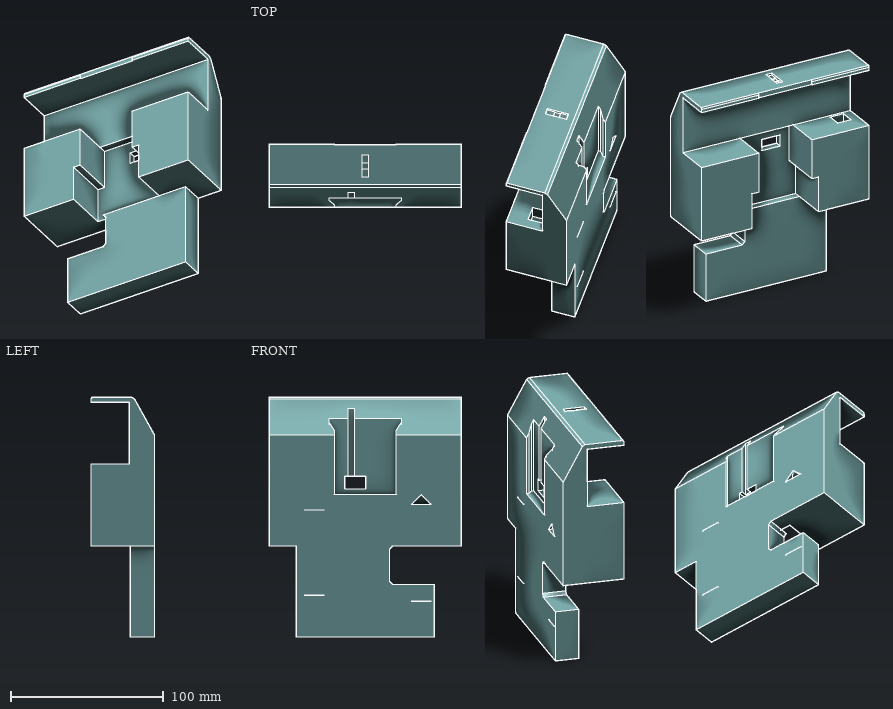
import cadquery as cq

WIDTH = 126.0
DEPTH = 41.64
HEIGHT = 157.25

WALL_THICKNESS = 16.6
PLATE_THICKNESS = 3.5
SLOPE_START_Z = 132.5
RIDGE_Y = 13.7
RIDGE_CHAMFER = 1.3
PLATE_EDGE_INSET = 0.6
PLATE_EDGE_HEIGHT = 1.2

BLOCK_BOTTOM_Z = 59.6
BLOCK_TOP_Z = 113.5
CHANNEL_WIDTH = 40.0
CHANNEL_FRONT_Y = 11.0
CHANNEL_FOOT_WIDTH = 50.0
CHANNEL_FOOT_TOP_Z = 85.0

BLOCK_POCKET_X = 6.2
BLOCK_POCKET_BACK_Y = 28.5
BLOCK_POCKET_SIZE = 10.0
BLOCK_POCKET_DEPTH = 10.0

ARM_THICKNESS = 16.0
ARM_LEFT_X = 17.7
ARM_NECK_X = 79.0
ARM_RIGHT_X = 108.3
HOOK_TOP_Z = 34.6
NOTCH_CHAMFER = 2.0

DOVETAIL_MOUTH_WIDTH = 40.3
DOVETAIL_FLOOR_WIDTH = 47.3
DOVETAIL_LIP = 1.6
DOVETAIL_FLARE_END = 4.5
DOVETAIL_DEPTH = 6.0
DOVETAIL_BOTTOM_Z = 93.3

GROOVE_CENTER_X = 53.9
GROOVE_WIDTH = 4.2
GROOVE_DEPTH = 9.6
WINDOW_LEFT_X = 49.6
WINDOW_WIDTH = 13.7
WINDOW_BOTTOM_Z = 97.2
WINDOW_TOP_Z = 105.3

SLOT_WIDTH = 4.4
SLOT_LENGTH = 14.4
SLOT_CENTER_Y = 27.0
SLOT_STEP_LENGTH = 4.0
SLOT_DEPTH = 1.5
SLOT_STEP_DEPTH = 2.0

MARK_WIDTH = 13.0
MARK_HEIGHT = 6.4
MARK_BASE_Z = 86.9
LEFT_MARK_X = 29.6
RIGHT_MARK_X = 99.7
SCRIBE_HEIGHT = 0.1
SCRIBE_DEPTH = 1.0
SCRIBES = [(LEFT_MARK_X, 83.2), (LEFT_MARK_X, 27.4), (RIGHT_MARK_X, 23.4)]

CENTER_X = WIDTH / 2
CHANNEL_LEFT_X = CENTER_X - CHANNEL_WIDTH / 2
CHANNEL_RIGHT_X = CENTER_X + CHANNEL_WIDTH / 2


def box(x0, x1, y0, y1, z0, z1):
    """Axis-aligned box between two opposite corners."""
    return cq.Workplane("XY").box(x1 - x0, y1 - y0, z1 - z0, centered=False).translate((x0, y0, z0))


def wall_and_plate():
    """Side profile of the wall and plate, with a bevelled ridge and a shallow notch in the back edge."""
    profile = [
        (0, BLOCK_BOTTOM_Z),
        (0, SLOPE_START_Z),
        (RIDGE_Y, HEIGHT),
        (DEPTH - PLATE_EDGE_INSET, HEIGHT),
        (DEPTH, HEIGHT - PLATE_EDGE_HEIGHT),
        (DEPTH, HEIGHT - PLATE_THICKNESS),
        (WALL_THICKNESS, HEIGHT - PLATE_THICKNESS),
        (WALL_THICKNESS, BLOCK_BOTTOM_Z),
    ]
    body = cq.Workplane("YZ").polyline(profile).close().extrude(WIDTH)
    ridge = cq.selectors.NearestToPointSelector((CENTER_X, RIDGE_Y, HEIGHT))
    body = body.edges(ridge).chamfer(RIDGE_CHAMFER)
    edge_notch = box(
        CHANNEL_LEFT_X,
        CHANNEL_RIGHT_X,
        DEPTH - PLATE_EDGE_INSET,
        DEPTH,
        HEIGHT - PLATE_THICKNESS,
        HEIGHT,
    )
    return body.cut(edge_notch)


def block():
    """Full-width block with a blind pocket in its top."""
    body = box(0, WIDTH, 0, DEPTH, BLOCK_BOTTOM_Z, BLOCK_TOP_Z)
    pocket = box(
        BLOCK_POCKET_X,
        BLOCK_POCKET_X + BLOCK_POCKET_SIZE,
        BLOCK_POCKET_BACK_Y - BLOCK_POCKET_SIZE,
        BLOCK_POCKET_BACK_Y,
        BLOCK_TOP_Z - BLOCK_POCKET_DEPTH,
        BLOCK_TOP_Z,
    )
    return body.cut(pocket)


def back_channel():
    """Open channel in the back of the block, wider towards its foot."""
    channel = box(
        CHANNEL_LEFT_X, CHANNEL_RIGHT_X, CHANNEL_FRONT_Y, DEPTH, BLOCK_BOTTOM_Z, BLOCK_TOP_Z
    )
    foot = box(
        CENTER_X - CHANNEL_FOOT_WIDTH / 2,
        CENTER_X + CHANNEL_FOOT_WIDTH / 2,
        CHANNEL_FRONT_Y,
        DEPTH,
        BLOCK_BOTTOM_Z,
        CHANNEL_FOOT_TOP_Z,
    )
    return channel.union(foot)


def arm():
    """Hanging arm with a chamfered side notch under the block."""
    outline = [
        (ARM_LEFT_X, 0),
        (ARM_RIGHT_X, 0),
        (ARM_RIGHT_X, HOOK_TOP_Z),
        (ARM_NECK_X + NOTCH_CHAMFER, HOOK_TOP_Z),
        (ARM_NECK_X, HOOK_TOP_Z + NOTCH_CHAMFER),
        (ARM_NECK_X, BLOCK_BOTTOM_Z - NOTCH_CHAMFER),
        (ARM_NECK_X + NOTCH_CHAMFER, BLOCK_BOTTOM_Z),
        (ARM_LEFT_X, BLOCK_BOTTOM_Z),
    ]
    return cq.Workplane("XZ").polyline(outline).close().extrude(-ARM_THICKNESS)


def dovetail_pocket():
    """Upright flared pocket that runs out through the sloped front."""
    mouth = DOVETAIL_MOUTH_WIDTH / 2
    floor = DOVETAIL_FLOOR_WIDTH / 2
    half = [(mouth, 0), (mouth, DOVETAIL_LIP), (floor, DOVETAIL_FLARE_END), (floor, DOVETAIL_DEPTH)]
    section = half + [(-x, y) for x, y in reversed(half)]
    return (
        cq.Workplane("XY")
        .polyline(section)
        .close()
        .extrude(HEIGHT - DOVETAIL_BOTTOM_Z)
        .translate((CENTER_X, 0, DOVETAIL_BOTTOM_Z))
    )


def groove_and_window():
    """Narrow vertical groove ending in a window through the wall."""
    groove = box(
        GROOVE_CENTER_X - GROOVE_WIDTH / 2,
        GROOVE_CENTER_X + GROOVE_WIDTH / 2,
        0,
        GROOVE_DEPTH,
        WINDOW_BOTTOM_Z,
        HEIGHT,
    )
    window = box(
        WINDOW_LEFT_X, WINDOW_LEFT_X + WINDOW_WIDTH, 0, DEPTH, WINDOW_BOTTOM_Z, WINDOW_TOP_Z
    )
    return groove.union(window)


def plate_slot():
    """Blind slot with a deeper stretch in its middle."""
    def pocket(length, depth):
        return box(
            CENTER_X - SLOT_WIDTH / 2,
            CENTER_X + SLOT_WIDTH / 2,
            SLOT_CENTER_Y - length / 2,
            SLOT_CENTER_Y + length / 2,
            HEIGHT - depth,
            HEIGHT,
        )

    return pocket(SLOT_LENGTH, SLOT_DEPTH).union(pocket(SLOT_STEP_LENGTH, SLOT_STEP_DEPTH))


def sight_mark():
    """Half pyramid with a level floor and its apex on the front face."""
    half_base = MARK_WIDTH / 2
    front = [(-half_base, 0), (half_base, 0), (0, MARK_HEIGHT)]
    side = [(0, 0), (half_base, 0), (0, MARK_HEIGHT)]
    front_prism = cq.Workplane("XZ").polyline(front).close().extrude(-half_base)
    side_prism = cq.Workplane("YZ").polyline(side).close().extrude(half_base, both=True)
    return front_prism.intersect(side_prism).translate((RIGHT_MARK_X, 0, MARK_BASE_Z))


def scribe(x, z):
    """Thin horizontal slit in the front face."""
    return box(x - MARK_WIDTH / 2, x + MARK_WIDTH / 2, 0, SCRIBE_DEPTH, z, z + SCRIBE_HEIGHT)


result = wall_and_plate().union(block()).cut(back_channel()).union(arm())
result = result.cut(dovetail_pocket()).cut(groove_and_window()).cut(plate_slot())
result = result.cut(sight_mark())
for scribe_x, scribe_z in SCRIBES:
    result = result.cut(scribe(scribe_x, scribe_z))